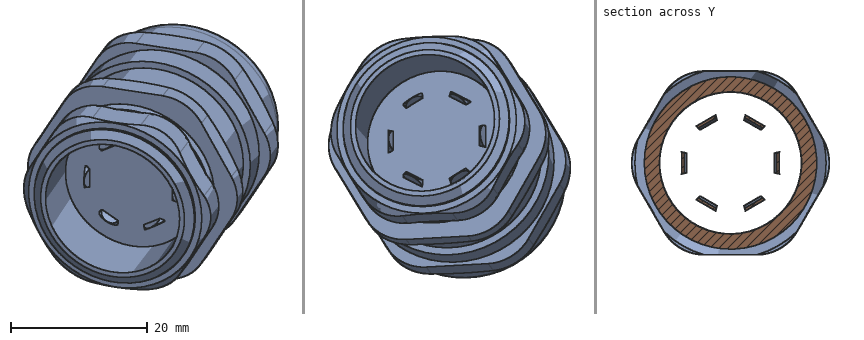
import cadquery as cq
import math


END_CHAMFER_TOP = 0.75
LOCKNUT_START = 1.2
LOCKNUT_END = 5.75
SEAL_GROOVE_START = 7.85
FLANGE_START = 9.0
FLANGE_END = 12.5
CAP_START = 20.0
CAP_HEX_START = 24.0
CAP_HEX_END = 28.5
TOTAL_LENGTH = 36.0

END_FACE_DIAMETER = 22.3
THREAD_DIAMETER = 24.85
BODY_DIAMETER = 26.85
CAP_DIAMETER = 29.0
DOME_RADIUS = 4.0

SEAL_GROOVE_DIAMETER = 24.6
SEAL_OUTER_DIAMETER = 25.45
SEAL_BULGE_RADIUS = 1.6

BIG_HEX_FLATS = 30.0
LOCKNUT_FLATS = 27.0
BIG_HEX_CORNER_RADIUS = 6.97
LOCKNUT_CORNER_RADIUS = 7.03
BIG_HEX_CHAMFER_DIAMETER = CAP_DIAMETER
BIG_HEX_CHAMFER_ANGLE = 30.0
LOCKNUT_CHAMFER_DIAMETER = BODY_DIAMETER
LOCKNUT_CHAMFER_ANGLE = 40.0
LOCKNUT_DISH_DIAMETER = 28.05
LOCKNUT_DISH_ANGLE = 32.0

BORE_DIAMETER = 20.8
BORE_DEPTH = 9.0
LUG_COUNT = 6
LUG_OUTER_DISTANCE = 7.28
LUG_THICKNESS = 0.85
LUG_OUTER_RADIUS = 1.65
LUG_INNER_RADIUS = 1.45
LUG_RIDGE_HEIGHT = 2.0
LUG_CENTER_HEIGHT = 0.4
LUG_UNDERCUT = 0.65


def revolve_about_y(profile):
    """Turn a closed (radius, Y) profile about the Y axis."""
    return profile.close().revolve(360, (0, 0, 0), (0, 1, 0))


def rounded_hexagon(across_flats, corner_radius, start, end):
    """Hexagonal prism with flats facing +Z and -Z and rounded corners."""
    across_corners = across_flats / math.cos(math.pi / 6)
    prism = cq.Workplane("XZ", origin=(0, start, 0)).polygon(6, across_corners).extrude(start - end)
    return prism.edges("|Y").fillet(corner_radius)


def chamfer_cone(face_diameter, face, other_end, angle):
    """Solid of revolution that widens from a face and trims the corners of a hexagon."""
    reach = BIG_HEX_FLATS
    direction = math.copysign(1, other_end - face)
    rim = face + direction * (reach - face_diameter / 2) * math.tan(math.radians(angle))
    profile = (
        cq.Workplane("XY")
        .moveTo(0, face)
        .lineTo(face_diameter / 2, face)
        .lineTo(reach, rim)
        .lineTo(0, rim)
    )
    return revolve_about_y(profile)


def chamfered_big_hexagon(start, end):
    hexagon = rounded_hexagon(BIG_HEX_FLATS, BIG_HEX_CORNER_RADIUS, start, end)
    return hexagon.intersect(chamfer_cone(BIG_HEX_CHAMFER_DIAMETER, end, start, BIG_HEX_CHAMFER_ANGLE))


def locknut():
    """Hexagon nut, chamfered towards the open end and slightly dished on its back."""
    nut = rounded_hexagon(LOCKNUT_FLATS, LOCKNUT_CORNER_RADIUS, LOCKNUT_START, LOCKNUT_END)
    nut = nut.intersect(
        chamfer_cone(LOCKNUT_CHAMFER_DIAMETER, LOCKNUT_START, LOCKNUT_END, LOCKNUT_CHAMFER_ANGLE)
    )
    dish_radius = LOCKNUT_DISH_DIAMETER / 2
    dish_depth = dish_radius * math.tan(math.radians(LOCKNUT_DISH_ANGLE))
    dish = revolve_about_y(
        cq.Workplane("XY")
        .moveTo(0, LOCKNUT_END)
        .lineTo(dish_radius, LOCKNUT_END)
        .lineTo(0, LOCKNUT_END - dish_depth)
    )
    return nut.cut(dish)


def turned_body():
    """Stem, seal, body and domed cap as one turned shape."""
    stem = THREAD_DIAMETER / 2
    groove = SEAL_GROOVE_DIAMETER / 2
    seal = SEAL_OUTER_DIAMETER / 2
    seal_foot = FLANGE_START - math.sqrt(SEAL_BULGE_RADIUS**2 - (SEAL_BULGE_RADIUS - seal + groove) ** 2)
    body = BODY_DIAMETER / 2
    cap = CAP_DIAMETER / 2
    profile = (
        cq.Workplane("XY")
        .lineTo(END_FACE_DIAMETER / 2, 0)
        .lineTo(stem, END_CHAMFER_TOP)
        .lineTo(stem, SEAL_GROOVE_START)
        .lineTo(groove, SEAL_GROOVE_START)
        .lineTo(groove, seal_foot)
        .radiusArc((seal, FLANGE_START), -SEAL_BULGE_RADIUS)
        .lineTo(body, FLANGE_START)
        .lineTo(body, CAP_START)
        .lineTo(cap, CAP_START)
        .lineTo(cap, TOTAL_LENGTH - DOME_RADIUS)
        .radiusArc((cap - DOME_RADIUS, TOTAL_LENGTH), -DOME_RADIUS)
        .lineTo(0, TOTAL_LENGTH)
    )
    return revolve_about_y(profile)


def bore():
    return cq.Workplane("XZ").circle(BORE_DIAMETER / 2).extrude(-BORE_DEPTH)


def floor_lug():
    """Half-round lug at +X, sloping to a ridge from both sides and undercut at 45 degrees inside."""
    inner = LUG_OUTER_DISTANCE - LUG_THICKNESS
    disc = (
        cq.Workplane("YZ", origin=(LUG_OUTER_DISTANCE, BORE_DEPTH - LUG_CENTER_HEIGHT, 0))
        .circle(LUG_OUTER_RADIUS)
        .workplane(offset=-LUG_THICKNESS)
        .circle(LUG_INNER_RADIUS)
        .loft(ruled=True)
    )
    lug_section = (
        cq.Workplane("XY")
        .moveTo(LUG_OUTER_DISTANCE, BORE_DEPTH)
        .lineTo(LUG_OUTER_DISTANCE - LUG_THICKNESS / 2, BORE_DEPTH - LUG_RIDGE_HEIGHT)
        .lineTo(inner, BORE_DEPTH - LUG_UNDERCUT)
        .lineTo(inner + LUG_UNDERCUT, BORE_DEPTH)
        .close()
        .extrude(LUG_OUTER_RADIUS, both=True)
    )
    return disc.intersect(lug_section)


gland = turned_body()
gland = gland.union(locknut())
gland = gland.union(chamfered_big_hexagon(FLANGE_START, FLANGE_END))
gland = gland.union(chamfered_big_hexagon(CAP_HEX_START, CAP_HEX_END))
gland = gland.cut(bore())

lug = floor_lug()
for index in range(LUG_COUNT):
    gland = gland.union(lug.rotate((0, 0, 0), (0, 1, 0), index * 360 / LUG_COUNT))

result = gland